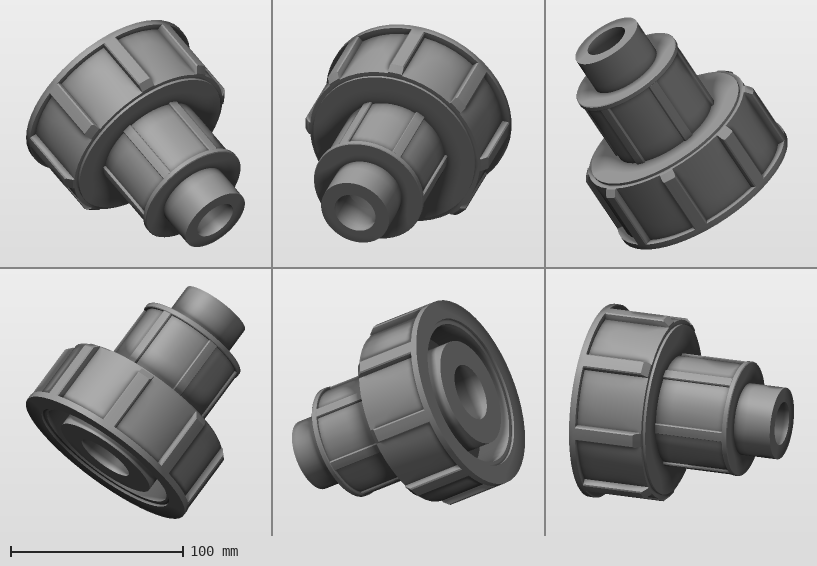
import cadquery as cq


overall_length = 111.0
collar_end = 3.7
nut_end = 42.9
back_ring_end = 44.5
flange_start = 85.7
flange_end = 88.9

nut_diameter = 113.0
nut_body_diameter = 104.8
back_ring_diameter = 99.4
nut_rib_count = 8
nut_rib_width = 8.5
nut_rib_corner_width = 0.8
nut_rib_corner_height = 0.8
rib_end_chamfer_length = 3.7
rib_end_chamfer_height = 3.3

recess_diameter = 90.4
recess_depth = 1.6
cavity_diameter = 84.8
cavity_depth = 22.0

sleeve_diameter = 63.0
sleeve_rib_count = 6
sleeve_rib_width = 6.1
sleeve_rib_diameter = 66.2
sleeve_rib_corner_width = 0.5
sleeve_rib_corner_height = 0.8
flange_diameter = 67.0
flange_chamfer = 0.5
spigot_diameter = 41.9

bore_inlet_diameter = 33.6
bore_outlet_diameter = 25.2
bore_cone_start = flange_start
bore_cone_end = flange_end


def disc(diameter, start, end):
    """Cylinder on the X axis between two X positions."""
    return cq.Workplane("YZ", origin=(start, 0, 0)).circle(diameter / 2).extrude(end - start)


def ring(outer_diameter, inner_diameter, start, end):
    """Tube on the X axis between two X positions."""
    return disc(outer_diameter, start, end).cut(disc(inner_diameter, start, end))


def ribs(count, width, corner_width, corner_height, diameter, start, end):
    """Ribs spread evenly from +Y around the X axis, with bevelled corners and a round crest."""
    tip = diameter / 2
    side = width / 2
    half_section = [(0, 0), (0, side), (tip - corner_height, side), (tip, side - corner_width), (tip, 0)]
    rib = (
        cq.Workplane("YZ", origin=(start, 0, 0))
        .polyline(half_section)
        .mirrorX()
        .extrude(end - start)
    )
    spread = cq.Workplane("XY")
    for index in range(count):
        spread = spread.add(rib.rotate((0, 0, 0), (1, 0, 0), index * 360 / count))
    return spread.combine().intersect(disc(diameter, start, end))


def nut():
    """Ribbed nut with a plain collar at the open end and a thin ring at the back."""
    rib_limit_radius = nut_diameter / 2
    rib_limit = (
        cq.Workplane("XY")
        .moveTo(0, 0)
        .lineTo(0, rib_limit_radius)
        .lineTo(nut_end - rib_end_chamfer_length, rib_limit_radius)
        .lineTo(nut_end, rib_limit_radius - rib_end_chamfer_height)
        .lineTo(nut_end, 0)
        .close()
        .revolve(360, (0, 0, 0), (1, 0, 0))
    )
    grip = ribs(
        nut_rib_count,
        nut_rib_width,
        nut_rib_corner_width,
        nut_rib_corner_height,
        nut_diameter,
        0,
        nut_end,
    ).intersect(rib_limit)
    return (
        disc(nut_body_diameter, 0, nut_end)
        .union(grip)
        .union(disc(nut_diameter, 0, collar_end))
        .union(disc(back_ring_diameter, nut_end, back_ring_end))
    )


def nut_opening():
    """Annular space between the nut and the hub, with a shallow wider recess at its mouth."""
    return ring(cavity_diameter, sleeve_diameter, 0, cavity_depth).union(
        ring(recess_diameter, sleeve_diameter, 0, recess_depth)
    )


def sleeve():
    """Ribbed sleeve that ends in a chamfered flange and a plain spigot."""
    grip = ribs(
        sleeve_rib_count,
        sleeve_rib_width,
        sleeve_rib_corner_width,
        sleeve_rib_corner_height,
        sleeve_rib_diameter,
        back_ring_end,
        flange_start,
    )
    flange = disc(flange_diameter, flange_start, flange_end).edges().chamfer(flange_chamfer)
    return (
        disc(sleeve_diameter, back_ring_end, flange_start)
        .union(grip)
        .union(flange)
        .union(disc(spigot_diameter, flange_end, overall_length))
    )


def bore():
    """Through bore: wide at the hub face, a cone inside the flange, narrow at the spigot."""
    return (
        cq.Workplane("XY")
        .moveTo(0, 0)
        .lineTo(0, bore_inlet_diameter / 2)
        .lineTo(bore_cone_start, bore_inlet_diameter / 2)
        .lineTo(bore_cone_end, bore_outlet_diameter / 2)
        .lineTo(overall_length, bore_outlet_diameter / 2)
        .lineTo(overall_length, 0)
        .close()
        .revolve(360, (0, 0, 0), (1, 0, 0))
    )


result = nut().cut(nut_opening()).union(sleeve()).cut(bore())